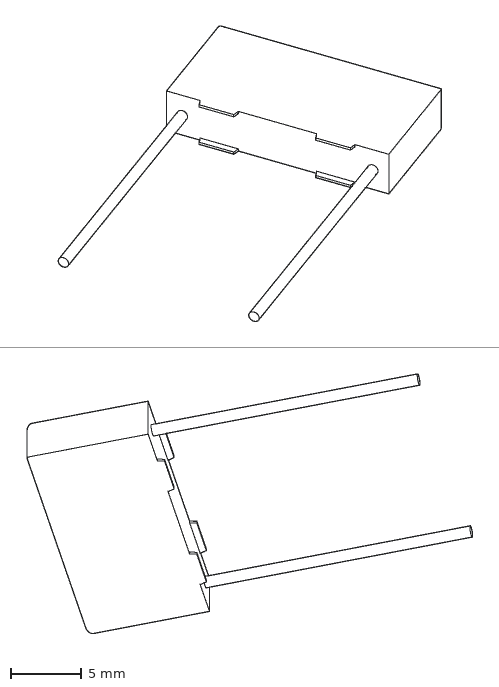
import cadquery as cq

overall_length = 28.5
housing_width = 17.5
housing_depth = 9.0
housing_height = 3.5
back_fillet = 0.5

tab_spacing = 9.18
tab_base_width = 3.02
tab_side_taper = 0.15
tab_length = 0.48
tab_thickness = 0.2

lead_spacing = 15.0
lead_diameter = 0.83
lead_length = overall_length - housing_depth


def make_block():
    """Rectangular case with all four edges of its back face rounded."""
    block = cq.Workplane("XY").box(
        housing_width, housing_depth, housing_height, centered=(True, False, True)
    )
    return block.faces(">Y").edges().fillet(back_fillet)


def make_tab(x_center, z_bottom):
    """Tapered standoff tab projecting from the lead face towards -Y."""
    base_half = tab_base_width / 2
    tip_half = base_half - tab_side_taper
    return (
        cq.Workplane("XY")
        .workplane(offset=z_bottom)
        .polyline([
            (x_center - base_half, 0),
            (x_center - tip_half, -tab_length),
            (x_center + tip_half, -tab_length),
            (x_center + base_half, 0),
        ])
        .close()
        .extrude(tab_thickness)
    )


def make_housing():
    """Case block joined with its four standoff tabs."""
    housing = make_block()
    lower_tab_z = -housing_height / 2
    upper_tab_z = housing_height / 2 - tab_thickness
    for x_center in (-tab_spacing / 2, tab_spacing / 2):
        for z_bottom in (lower_tab_z, upper_tab_z):
            housing = housing.union(make_tab(x_center, z_bottom))
    return housing.solids()


def make_lead(x_center):
    """Straight round wire standing on the lead face and running towards -Y."""
    return cq.Workplane("XZ").center(x_center, 0).circle(lead_diameter / 2).extrude(lead_length)


housing = make_housing()
leads = [make_lead(x_center) for x_center in (-lead_spacing / 2, lead_spacing / 2)]

result = cq.Compound.makeCompound([housing.val(), *[lead.val() for lead in leads]])